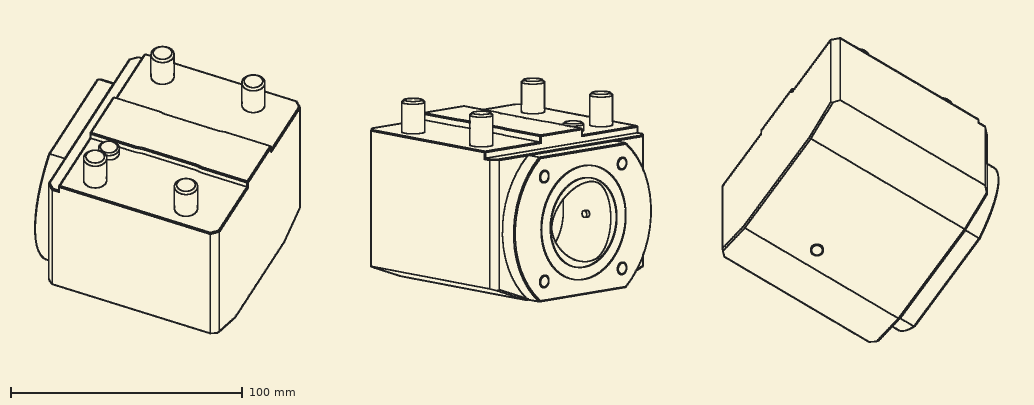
import cadquery as cq
import math


block_length = 81.0
block_width = 91.0
block_half_height = 32.0
bottom_width = 51.9
side_slope = 20.0
corner_chamfer = 3.0
edge_chamfer = 0.5
lower_end_chamfer = 0.7

plate_start = 6.0
plate_top = 35.0
rib_top = 38.0
rib_width = 25.0
relief_depth = 0.5
relief_length = 25.5
relief_run = 2.8

pin_diameter = 10.0
pin_top = 49.05
pin_chamfer = 1.0
pin_x_positions = (18.9, 62.0)
pin_y_offset = 35.5
plug_diameter = 9.0
plug_top = 38.5
plug_chamfer = 0.8
plug_x = 17.4
plug_y = -17.6

flange_radius = 40.8
flange_thickness = 7.55
flange_half_height = 31.8
ring_diameter = 50.0
ring_height = 0.5
ring_bore_diameter = 39.2

screw_diameter = 5.5
screw_chamfer_depth = 0.14
screw_chamfer_width = 0.4
flange_screw_offset = 23.0
flange_screw_height = 0.2
bottom_screw_x = 48.4
bottom_screw_y = plug_y
bottom_screw_height = 0.5

socket_radius = 17.5
socket_lobe = 1.1
socket_taper = 1 / 40
socket_depth = 29.1
socket_points = 24
key_diameter = 3.0
key_depth = socket_depth / 2
key_tip_y = -14.4

flange_face = -flange_thickness
margin = 0.9


def make_block():
    """Block with slanted lower sides, cut down at the front to leave a ledge below the plate."""
    half_width = block_width / 2
    half_bottom = bottom_width / 2
    slope_rise = (half_width - half_bottom) * math.tan(math.radians(side_slope))
    shoulder = slope_rise - block_half_height
    block = (
        cq.Workplane("YZ")
        .polyline([
            (-half_width, plate_top),
            (-half_width, shoulder),
            (-half_bottom, -block_half_height),
            (half_bottom, -block_half_height),
            (half_width, shoulder),
            (half_width, plate_top),
        ])
        .close()
        .extrude(block_length)
        .edges("|Z")
        .chamfer(corner_chamfer)
    )
    lower_ends = cq.selectors.BoxSelector(
        (-margin, corner_chamfer - half_width, -block_half_height - margin),
        (block_length + margin, half_width - corner_chamfer, shoulder + margin),
    )
    block = block.edges("#X").edges(lower_ends).chamfer(lower_end_chamfer)

    ledge = (
        cq.Workplane("XY", origin=(0, 0, block_half_height))
        .rect(2 * plate_start, 2 * block_width)
        .extrude(plate_top)
    )
    return block.cut(ledge)


def make_rib():
    """Rib along X whose sides step in slightly over a middle stretch."""
    middle = (plate_start + block_length) / 2
    outer = rib_width / 2
    inner = outer - relief_depth
    inner_run = relief_length / 2
    outer_run = inner_run + relief_run
    side = [
        (plate_start, outer),
        (middle - outer_run, outer),
        (middle - inner_run, inner),
        (middle + inner_run, inner),
        (middle + outer_run, outer),
        (block_length, outer),
    ]
    mirrored = [(x, -y) for x, y in reversed(side)]
    return (
        cq.Workplane("XY", origin=(0, 0, block_half_height))
        .polyline(side + mirrored)
        .close()
        .extrude(rib_top - block_half_height)
    )


def break_top_edges(body):
    """Chamfer the outer edges of the ledge, the plate and the rib, leaving the inner corners sharp."""
    half_rib = rib_width / 2
    near_top = cq.selectors.BoxSelector(
        (-margin, -block_width, block_half_height - margin),
        (block_length + margin, block_width, rib_top + margin),
    )
    rib_sides = cq.selectors.BoxSelector(
        (plate_start + margin, -half_rib - margin, plate_top - margin),
        (block_length - margin, half_rib + margin, rib_top - margin),
    )
    ledge_corner = cq.selectors.BoxSelector(
        (plate_start - margin, -margin, block_half_height - margin),
        (plate_start + margin, margin, block_half_height + margin),
    )
    return body.edges(near_top - rib_sides - ledge_corner).chamfer(edge_chamfer)


def make_post(seat, diameter, height, chamfer_depth, chamfer_width):
    """Round post with a chamfered tip, rising from the seat plane along its normal."""
    radius = diameter / 2
    post = cq.Workplane(seat).circle(radius).extrude(height - chamfer_depth)
    tip = (
        cq.Workplane(seat)
        .workplane(offset=height - chamfer_depth)
        .circle(radius)
        .workplane(offset=chamfer_depth)
        .circle(radius - chamfer_width)
        .loft()
    )
    return post.union(tip)


def make_screw(seat, height):
    """Visible end of a screw standing proud of its seat plane."""
    return make_post(seat, screw_diameter, height, screw_chamfer_depth, screw_chamfer_width)


def make_flange():
    """Flange with a chamfered front and a low raised ring around the socket."""
    flats = cq.Workplane("XY").box(block_length, block_width, 2 * flange_half_height)
    flange = (
        cq.Workplane("YZ", origin=(flange_face, 0, 0))
        .circle(flange_radius)
        .extrude(flange_thickness)
        .intersect(flats)
        .faces("<X")
        .chamfer(edge_chamfer)
    )
    ring = (
        cq.Workplane("YZ", origin=(flange_face, 0, 0))
        .circle(ring_diameter / 2)
        .circle(ring_bore_diameter / 2)
        .extrude(-ring_height)
    )
    return flange.union(ring)


def lobed_point(angle, mean_radius):
    """Point of the closed curve whose tangent lies mean_radius + socket_lobe * cos(3 * angle) away."""
    reach = mean_radius + socket_lobe * math.cos(3 * angle)
    slide = -3 * socket_lobe * math.sin(3 * angle)
    return (
        reach * math.cos(angle) - slide * math.sin(angle),
        reach * math.sin(angle) + slide * math.cos(angle),
    )


def lobed_outline(workplane, mean_radius):
    """Smooth closed outline through evenly spaced points of the lobed curve."""
    step = 2 * math.pi / socket_points
    points = [lobed_point(i * step, mean_radius) for i in range(socket_points)]
    return workplane.spline(points, periodic=True).close()


def make_socket():
    """Space to cut away for the socket, less the locating pin that stays in its wall."""
    mouth = lobed_outline(cq.Workplane("YZ", origin=(flange_face, 0, 0)), socket_radius)
    floor_radius = socket_radius - socket_taper * socket_depth
    socket = lobed_outline(mouth.workplane(offset=socket_depth), floor_radius).loft(ruled=True)
    key = (
        cq.Workplane("XZ", origin=(flange_face + key_depth, key_tip_y, 0))
        .circle(key_diameter / 2)
        .extrude(ring_bore_diameter / 2 + key_tip_y)
    )
    return socket.cut(key)


body = break_top_edges(make_block().union(make_rib()))
body = body.union(make_flange()).cut(make_socket())

for pin_x in pin_x_positions:
    for pin_y in (-pin_y_offset, pin_y_offset):
        pin_seat = cq.Plane((pin_x, pin_y, plate_top), xDir=(1, 0, 0), normal=(0, 0, 1))
        body = body.union(make_post(pin_seat, pin_diameter, pin_top - plate_top, pin_chamfer, pin_chamfer))

plug_seat = cq.Plane((plug_x, plug_y, plate_top), xDir=(1, 0, 0), normal=(0, 0, 1))
body = body.union(make_post(plug_seat, plug_diameter, plug_top - plate_top, plug_chamfer, plug_chamfer))

for screw_y in (-flange_screw_offset, flange_screw_offset):
    for screw_z in (-flange_screw_offset, flange_screw_offset):
        screw_seat = cq.Plane((flange_face, screw_y, screw_z), xDir=(0, 1, 0), normal=(-1, 0, 0))
        body = body.union(make_screw(screw_seat, flange_screw_height))

bottom_seat = cq.Plane(
    (bottom_screw_x, bottom_screw_y, -block_half_height), xDir=(1, 0, 0), normal=(0, 0, -1)
)
body = body.union(make_screw(bottom_seat, bottom_screw_height))

result = body